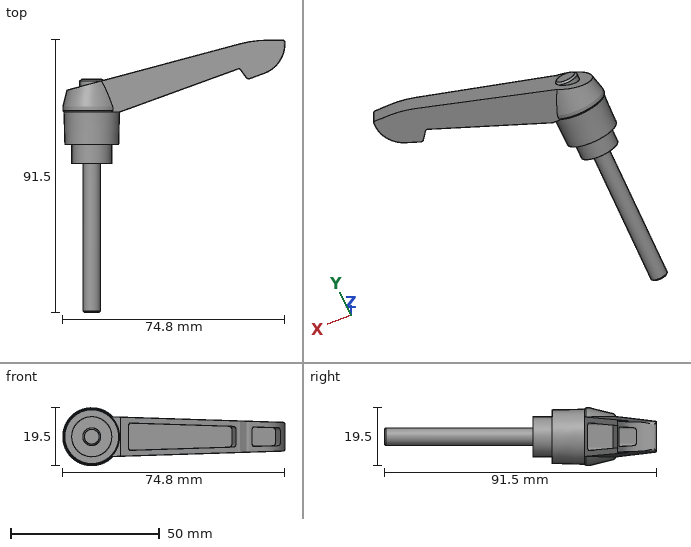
import cadquery as cq
import math


stud_radius = 3.0
stud_length = 50.0
stud_chamfer = 0.5

collar_radius = 6.75
collar_height = 6.4
body_bottom_radius = 9.07
body_top_radius = 9.35
body_top_y = 17.4
rim_radius = 9.75
rim_bottom_y = 17.9
rim_top_y = 19.1
cone_draft = math.radians(14.0)
button_radius = 4.05
button_top_y = 28.45
button_chamfer = 0.7

top_slope = math.radians(15.0)
bottom_slope = math.radians(20.0)
slope_start_y = 26.96
lever_end_x = 65.0
lever_top_y = 41.55
top_blend_radius = 36.0
underside_start_x = 9.6
notch_x = 49.7
notch_corner_radius = 0.5
hook_corner_radius = 1.0
hook_tip_x = 52.4
hook_tip_y = 28.3
nose_radius = 10.8
tip_fillet = 0.8

half_width_at_axis = 6.93
width_taper = 0.032

pocket_wall = 1.9
pocket_skin = 2.7
pocket_corner_radius = 1.0
long_pocket_start_x = 12.3
long_pocket_end_x = 48.5
short_pocket_start_x = 53.9
short_pocket_end_x = 63.4

nose_center_x = lever_end_x - nose_radius
nose_start_x = nose_center_x + nose_radius * math.sin(bottom_slope)
nose_start_y = hook_tip_y + (nose_start_x - hook_tip_x) * math.tan(bottom_slope)
nose_center_y = nose_start_y + nose_radius * math.cos(bottom_slope)


def lever_top_height(x):
    """Height of the sloped upper face at x."""
    return slope_start_y + x * math.tan(top_slope)


def underside_height(x):
    """Height of the sloped underside at x."""
    return body_top_y + (x - underside_start_x) * math.tan(bottom_slope)


def hook_underside_height(x):
    """Height at x of the hook's flat underside."""
    return hook_tip_y + (x - hook_tip_x) * math.tan(bottom_slope)


def nose_height(x):
    """Height at x of the lower side of the nose arc."""
    return nose_center_y - math.sqrt(nose_radius**2 - (x - nose_center_x) ** 2)


def half_width(x):
    """Half of the lever width at x."""
    return half_width_at_axis - width_taper * x


def make_hub():
    """Stud, collar, body, rim and cone as one turned shape."""
    cone_height = lever_top_height(rim_radius) - rim_top_y
    cone_top_radius = rim_radius - cone_height * math.tan(cone_draft)
    cone_top_y = rim_top_y + cone_height
    hub = (
        cq.Workplane("XY")
        .moveTo(0, -stud_length)
        .lineTo(stud_radius - stud_chamfer, -stud_length)
        .lineTo(stud_radius, -stud_length + stud_chamfer)
        .lineTo(stud_radius, 0)
        .lineTo(collar_radius, 0)
        .lineTo(collar_radius, collar_height)
        .lineTo(body_bottom_radius, collar_height)
        .lineTo(body_top_radius, body_top_y)
        .lineTo(rim_radius, rim_bottom_y)
        .lineTo(rim_radius, rim_top_y)
        .lineTo(cone_top_radius, cone_top_y)
        .lineTo(0, cone_top_y)
        .close()
        .revolve(360, (0, 0, 0), (0, 1, 0))
    )
    above_slope = (
        cq.Workplane("XY")
        .moveTo(-rim_radius, lever_top_height(-rim_radius))
        .lineTo(rim_radius, lever_top_height(rim_radius))
        .lineTo(-rim_radius, lever_top_height(rim_radius))
        .close()
        .extrude(rim_radius, both=True)
    )
    return hub.cut(above_slope)


def make_button():
    """Round button that stands out of the sloped top on the clamping axis."""
    button = cq.Workplane("XZ").circle(button_radius).extrude(body_top_y - button_top_y)
    return button.faces(">Y").chamfer(button_chamfer).translate((0, body_top_y, 0))


def vertical_edge_near(x, y):
    """Selector for the edges whose midpoint lies close to (x, y, 0)."""
    reach = 0.2
    return cq.selectors.BoxSelector((x - reach, y - reach, -reach), (x + reach, y + reach, reach))


def make_lever():
    """Lever arm with hooked end, from its side profile trimmed to its tapering width."""
    top_corner_x = (lever_top_y - slope_start_y) / math.tan(top_slope)
    blend_length = top_blend_radius * math.tan(top_slope / 2)
    blend_start_x = top_corner_x - blend_length * math.cos(top_slope)
    blend_end_x = top_corner_x + blend_length
    blend_mid_x = blend_end_x - top_blend_radius * math.sin(top_slope / 2)
    blend_mid_y = lever_top_y - top_blend_radius * (1 - math.cos(top_slope / 2))

    nose_mid_angle = (math.pi / 2 - bottom_slope) / 2
    nose_mid_x = nose_center_x + nose_radius * math.cos(nose_mid_angle)
    nose_mid_y = nose_center_y - nose_radius * math.sin(nose_mid_angle)

    side = (
        cq.Workplane("XY")
        .moveTo(0, body_top_y)
        .lineTo(underside_start_x, body_top_y)
        .lineTo(notch_x, underside_height(notch_x))
        .lineTo(hook_tip_x, hook_tip_y)
        .lineTo(nose_start_x, nose_start_y)
        .threePointArc((nose_mid_x, nose_mid_y), (lever_end_x, nose_center_y))
        .lineTo(lever_end_x, lever_top_y - tip_fillet)
        .radiusArc((lever_end_x - tip_fillet, lever_top_y), -tip_fillet)
        .lineTo(blend_end_x, lever_top_y)
        .threePointArc((blend_mid_x, blend_mid_y), (blend_start_x, lever_top_height(blend_start_x)))
        .lineTo(0, slope_start_y)
        .close()
        .extrude(rim_radius, both=True)
    )
    notch_y = underside_height(notch_x)
    side = side.edges(vertical_edge_near(notch_x, notch_y)).fillet(notch_corner_radius)
    side = side.edges(vertical_edge_near(hook_tip_x, hook_tip_y)).fillet(hook_corner_radius)

    axis_half = half_width(0)
    end_half = half_width(lever_end_x)
    plan = (
        cq.Workplane("XZ")
        .polyline([(0, -axis_half), (lever_end_x, -end_half), (lever_end_x, end_half), (0, axis_half)])
        .close()
        .extrude(-lever_top_y)
        .edges("|Y and >X")
        .fillet(tip_fillet)
    )
    return side.intersect(plan)


def make_pocket(start_x, start_y, end_x, end_y):
    """Pocket with its floor parallel to the sloped upper face and its walls square to that floor.

    The start and end points are where its end walls meet the underside.
    """
    along = cq.Vector(math.cos(top_slope), math.sin(top_slope), 0)
    into = cq.Vector(-math.sin(top_slope), math.cos(top_slope), 0)
    length = cq.Vector(end_x - start_x, end_y - start_y, 0).dot(along)
    start_half = half_width(start_x) - pocket_wall
    end_half = half_width(end_x) - pocket_wall
    mouth = cq.Plane(origin=(end_x, end_y, 0), xDir=along.toTuple(), normal=into.toTuple())
    walls = (
        cq.Workplane(mouth)
        .polyline([(-length, -start_half), (0, -end_half), (0, end_half), (-length, start_half)])
        .close()
        .extrude(lever_top_y / 2, both=True)
        .edges(cq.selectors.ParallelDirSelector(into))
        .fillet(pocket_corner_radius)
    )
    floor_drop = pocket_skin / math.cos(top_slope)
    below_floor = (
        cq.Workplane("XY")
        .lineTo(lever_end_x, 0)
        .lineTo(lever_end_x, lever_top_height(lever_end_x) - floor_drop)
        .lineTo(0, slope_start_y - floor_drop)
        .close()
        .extrude(rim_radius, both=True)
    )
    return walls.intersect(below_floor)


long_pocket = make_pocket(
    long_pocket_start_x,
    underside_height(long_pocket_start_x),
    long_pocket_end_x,
    underside_height(long_pocket_end_x),
)
short_pocket = make_pocket(
    short_pocket_start_x,
    hook_underside_height(short_pocket_start_x),
    short_pocket_end_x,
    nose_height(short_pocket_end_x),
)
lever = make_lever().cut(long_pocket).cut(short_pocket)
result = make_hub().union(make_button()).union(lever)